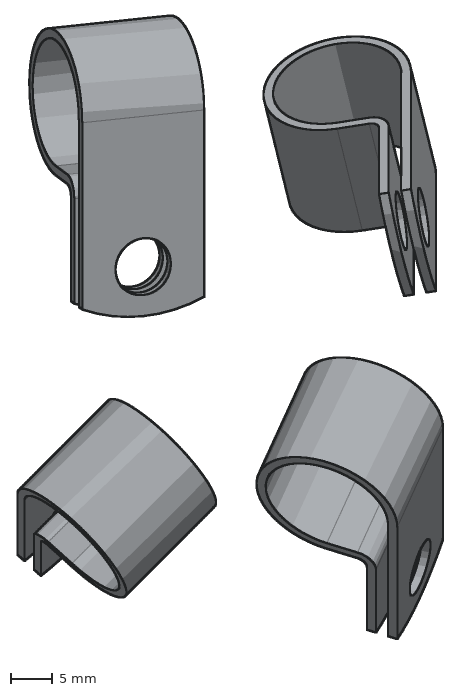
import cadquery as cq

height = 34.5
width = 15.85
thickness = 1.2
loop_diameter = 18.3
leg_gap = 1.55
bend_inner_radius = 1.2
hole_diameter = 7.17
hole_height = 6.28
tip_rise = 1.65

outer_radius = loop_diameter / 2
inner_radius = outer_radius - thickness
bottom = outer_radius - height
short_leg_right = inner_radius - leg_gap
short_leg_left = short_leg_right - thickness
bend_outer_radius = bend_inner_radius + thickness
bend_x = short_leg_right - bend_outer_radius
bend_z = -inner_radius - bend_outer_radius
diagonal = 0.5 ** 0.5


def bent_strap():
    """Strap of constant thickness: long leg, loop, bend and short leg."""
    return (
        cq.Workplane("XZ")
        .moveTo(outer_radius, bottom)
        .lineTo(outer_radius, 0)
        .threePointArc((-outer_radius * diagonal, outer_radius * diagonal), (0, -outer_radius))
        .lineTo(bend_x, -outer_radius)
        .threePointArc(
            (bend_x + bend_inner_radius * diagonal, bend_z + bend_inner_radius * diagonal),
            (short_leg_left, bend_z),
        )
        .lineTo(short_leg_left, bottom)
        .lineTo(short_leg_right, bottom)
        .lineTo(short_leg_right, bend_z)
        .threePointArc(
            (bend_x + bend_outer_radius * diagonal, bend_z + bend_outer_radius * diagonal),
            (bend_x, -inner_radius),
        )
        .lineTo(0, -inner_radius)
        .threePointArc((-inner_radius * diagonal, inner_radius * diagonal), (inner_radius, 0))
        .lineTo(inner_radius, bottom)
        .close()
        .extrude(width / 2, both=True)
    )


def side_silhouette():
    """Block bounding the strap from the side, with a shallow arc at the leg tips."""
    return (
        cq.Workplane("YZ")
        .moveTo(-width / 2, outer_radius)
        .lineTo(-width / 2, bottom + tip_rise)
        .threePointArc((0, bottom), (width / 2, bottom + tip_rise))
        .lineTo(width / 2, outer_radius)
        .close()
        .extrude(outer_radius, both=True)
    )


def screw_hole():
    """Cylinder through both legs."""
    return (
        cq.Workplane("YZ")
        .center(0, bottom + hole_height)
        .circle(hole_diameter / 2)
        .extrude(outer_radius, both=True)
    )


result = bent_strap().intersect(side_silhouette()).cut(screw_hole())